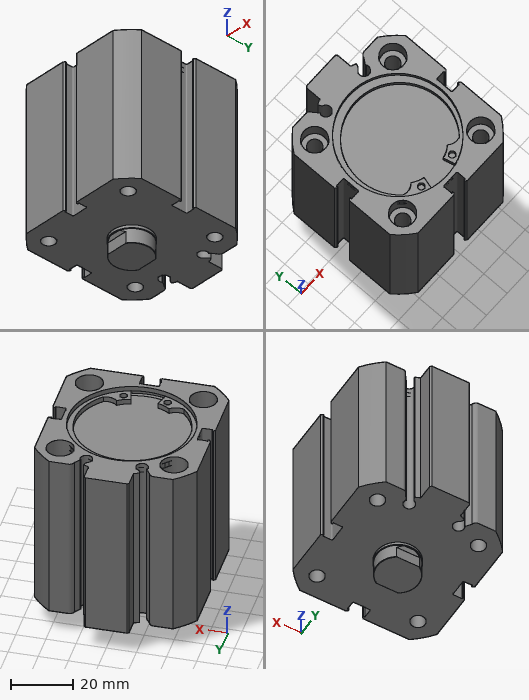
import cadquery as cq
import math


body_width = 54.0
half_width = body_width / 2
body_height = 58.55
corner_radius = 33.9
rail_half_width = 7.45
rail_top = 33.0
rail_chamfer = 0.5
rail_foot_drop = 0.1

hole_pitch = 37.8
hole_diameter = 5.25
counterbore_diameter = 9.05
counterbore_depth = 7.0

slot_width = 6.55
slot_opening = 5.4
slot_depth = 4.45
slot_lip = 1.0
lip_chamfer = 0.5
slot_fillet = 0.4

groove_x = 9.25
groove_y = 22.65
groove_radius = 2.0

bore_radius = 20.95
ring_outer_radius = 22.3
ring_recess = 1.7
ring_thickness = 1.85
cover_thickness = 7.85
ring_inner_radius = 19.1
ring_inner_offset = 1.0
ring_turn = -0.8
ear_hole_diameter = 2.4
ear_hole_x = 7.35
ear_hole_y = 16.95

rod_diameter = 16.0
rod_length = 6.95
tip_diameter = 15.6
collar_length = 1.3
flat_width = 13.05
flat_length = 4.6
tip_chamfer = 0.1

cover_top = body_height - ring_recess - ring_thickness
cover_bottom = cover_top - cover_thickness


def mirrored(point):
    """Matching point on the -X side."""
    return (-point[0], point[1])


def circle_point(radius, x):
    """Upper point at x on a circle about the origin."""
    return (x, math.sqrt(radius**2 - x**2))


def make_profile():
    """Closed outline of the extrusion without its T-slots."""
    corner = circle_point(corner_radius, half_width)[1]
    diagonal = corner_radius * math.sqrt(0.5)

    mouth_top = (13.95, half_width)
    mouth_mid = (13.0, 26.5)
    mouth = (12.45, 25.6)
    outer_lip = (groove_x + 1.65, groove_y + 0.85)
    entry_x = 1.9
    entry = (groove_x + entry_x, groove_y + circle_point(groove_radius, entry_x)[1])
    groove_bottom = (groove_x, groove_y - groove_radius)
    neck_x = 0.8
    neck = (groove_x - neck_x, groove_y + circle_point(groove_radius, neck_x)[1])
    inner_lip_mid = (9.0, 25.15)
    inner_lip_low = (groove_x, 25.8)
    inner_lip_high = (groove_x, 26.15)
    rail_foot = (rail_half_width, half_width - rail_foot_drop)

    return (
        cq.Workplane("XY")
        .moveTo(-corner, -half_width)
        .lineTo(corner, -half_width)
        .threePointArc((diagonal, -diagonal), (half_width, -corner))
        .lineTo(half_width, corner)
        .threePointArc((diagonal, diagonal), (corner, half_width))
        .lineTo(*mouth_top)
        .threePointArc(mouth_mid, mouth)
        .lineTo(*outer_lip)
        .lineTo(*entry)
        .threePointArc(groove_bottom, neck)
        .threePointArc(inner_lip_mid, inner_lip_low)
        .lineTo(*inner_lip_high)
        .lineTo(*rail_foot)
        .lineTo(rail_half_width, rail_top - rail_chamfer)
        .lineTo(rail_half_width - rail_chamfer, rail_top)
        .lineTo(rail_chamfer - rail_half_width, rail_top)
        .lineTo(-rail_half_width, rail_top - rail_chamfer)
        .lineTo(*mirrored(rail_foot))
        .lineTo(*mirrored(inner_lip_high))
        .lineTo(*mirrored(inner_lip_low))
        .threePointArc(mirrored(inner_lip_mid), mirrored(neck))
        .threePointArc(mirrored(groove_bottom), mirrored(entry))
        .lineTo(*mirrored(outer_lip))
        .lineTo(*mirrored(mouth))
        .threePointArc(mirrored(mouth_mid), mirrored(mouth_top))
        .lineTo(-corner, half_width)
        .threePointArc((-diagonal, diagonal), (-half_width, corner))
        .lineTo(-half_width, -corner)
        .threePointArc((-diagonal, -diagonal), (-corner, -half_width))
        .close()
    )


def make_slot(turn):
    """T-slot cutter for the -Y side, turned about Z onto its own side."""
    floor = slot_depth - half_width
    lip_back = slot_lip - half_width
    half_opening = slot_opening / 2
    right_side = [
        (half_opening + lip_chamfer, -half_width),
        (half_opening, lip_chamfer - half_width),
        (half_opening, lip_back),
        (slot_width / 2, lip_back),
        (slot_width / 2, floor),
    ]
    left_side = [(-x, y) for x, y in reversed(right_side)]
    slot = cq.Workplane("XY").polyline(right_side + left_side).close().extrude(body_height)
    slot = slot.faces(">Y").edges("|Z").fillet(slot_fillet)
    return slot.rotate((0, 0, 0), (0, 0, 1), turn)


def make_housing():
    housing = make_profile().extrude(body_height)
    for turn in (-90, 0, 90):
        housing = housing.cut(make_slot(turn))
    housing = (
        housing.faces(">Z").workplane(origin=(0, 0, body_height))
        .rect(hole_pitch, hole_pitch, forConstruction=True)
        .vertices()
        .cboreHole(hole_diameter, counterbore_diameter, counterbore_depth)
    )
    cover_seat = cq.Workplane("XY").workplane(offset=cover_bottom).circle(bore_radius)
    housing = housing.cut(cover_seat.extrude(body_height - cover_bottom))
    ring_groove = cq.Workplane("XY").workplane(offset=cover_top).circle(ring_outer_radius)
    housing = housing.cut(ring_groove.extrude(ring_thickness))
    return housing.cut(cq.Workplane("XY").circle(rod_diameter / 2).extrude(body_height))


def make_cover():
    return cq.Workplane("XY").workplane(offset=cover_bottom).circle(bore_radius).extrude(cover_thickness)


def make_ring():
    """Internal retaining ring, open toward -Y between two ears with plier holes."""
    ear_tip = (4.5, -15.6)
    ear_edge_mid = (6.7, -14.9)
    ear_inner = (8.7, -13.6)
    ear_hollow = (11.25, -14.9)
    ear_side_below = 13.6
    ear_side_x = circle_point(ring_inner_radius, ear_side_below)[1]
    ear_side = (ear_side_x, -ear_side_below - ring_inner_offset)
    end_x = 6.0
    end = (end_x, -circle_point(ring_outer_radius, end_x)[1])
    ring = (
        cq.Workplane("XY").workplane(offset=cover_top)
        .moveTo(*end)
        .threePointArc((0, ring_outer_radius), mirrored(end))
        .lineTo(*mirrored(ear_tip))
        .threePointArc(mirrored(ear_edge_mid), mirrored(ear_inner))
        .threePointArc(mirrored(ear_hollow), mirrored(ear_side))
        .threePointArc((0, ring_inner_radius - ring_inner_offset), ear_side)
        .threePointArc(ear_hollow, ear_inner)
        .threePointArc(ear_edge_mid, ear_tip)
        .close()
        .extrude(ring_thickness)
    )
    ear_holes = (
        cq.Workplane("XY").workplane(offset=cover_top)
        .pushPoints([(-ear_hole_x, -ear_hole_y), (ear_hole_x, -ear_hole_y)])
        .circle(ear_hole_diameter / 2)
        .extrude(ring_thickness)
    )
    return ring.cut(ear_holes).rotate((0, 0, 0), (0, 0, 1), ring_turn)


def make_rod():
    """Rod seated against the cover, with two wrench flats on its tip."""
    collar_step = (rod_diameter - tip_diameter) / 2
    rod = (
        cq.Workplane("XZ")
        .polyline([
            (0, cover_bottom),
            (rod_diameter / 2, cover_bottom),
            (rod_diameter / 2, collar_step - collar_length),
            (tip_diameter / 2, -collar_length),
            (tip_diameter / 2, tip_chamfer - rod_length),
            (tip_diameter / 2 - tip_chamfer, -rod_length),
            (0, -rod_length),
        ])
        .close()
        .revolve(360, (0, 0, 0), (0, 1, 0))
    )
    flat_top = flat_length - rod_length
    slope_end = flat_width / 2 - collar_length - flat_top
    for side in (-1, 1):
        flat = (
            cq.Workplane("YZ").workplane(offset=-rod_diameter / 2)
            .polyline([
                (side * flat_width / 2, -rod_length),
                (side * flat_width / 2, flat_top),
                (side * slope_end, -collar_length),
                (side * rod_diameter / 2, -collar_length),
                (side * rod_diameter / 2, -rod_length),
            ])
            .close()
            .extrude(rod_diameter)
        )
        rod = rod.cut(flat)
    return rod


housing = make_housing()
cover = make_cover()
ring = make_ring()
rod = make_rod()

result = cq.Compound.makeCompound([housing.val(), cover.val(), ring.val(), rod.val()])